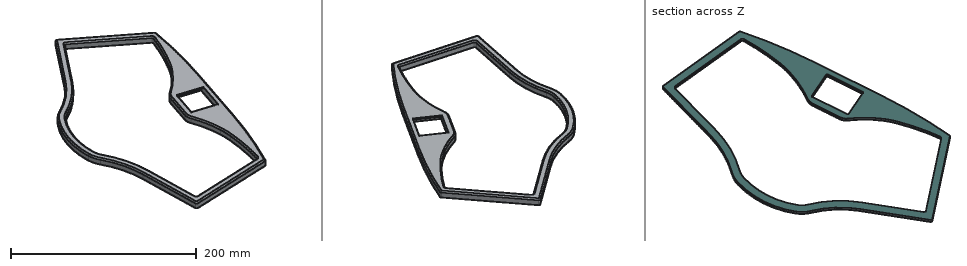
import cadquery as cq
import math


length = 335.0
depth = 179.5
thickness = 8.0

rail_width = 9.0
side_lean = 19.9
corner_radius = 2.0
edge_chamfer = 1.7

chin_radius = 103.8
chin_end_slope = 20.5
neck_radius = 34.0
neck_end_slope = 46.0
shoulder_radius = 117.2

back_flat_half = 42.0
back_corner_y = 83.0

bridge_y = 43.2
bridge_flat_half = 16.7
bridge_arcs = [(14.0, 38.0), (131.3, 21.4), (107.0, 13.0)]
opening_corner_y = 76.5

window_width = 35.0
window_height = 32.0
window_y = 67.0

window_lip = 2.0
relief_reach = 5.0

front_y = -depth / 2
back_y = depth / 2
lean_cos = math.cos(math.radians(side_lean))
lean_sin = math.sin(math.radians(side_lean))
wing_x = length / 2 + corner_radius * (lean_cos + lean_sin - 1)


def arc_point(start, radius, start_slope, slope):
    """Point where an arc heading outward from start has turned from start_slope to slope."""
    a = math.radians(start_slope)
    b = math.radians(slope)
    signed_radius = math.copysign(radius, slope - start_slope)
    return (
        start[0] + signed_radius * (math.sin(b) - math.sin(a)),
        start[1] + signed_radius * (math.cos(a) - math.cos(b)),
    )


def arc_chain(start, start_slope, arcs):
    """Points of tangent arcs given as (radius, end slope): start, then a middle and an end for each."""
    points = [start]
    slope = start_slope
    for radius, end_slope in arcs:
        base = points[-1]
        points.append(arc_point(base, radius, slope, (slope + end_slope) / 2))
        points.append(arc_point(base, radius, slope, end_slope))
        slope = end_slope
    return points


def draw_arcs(path, points):
    """Draw a chain of arcs from its first point, where the path already stands."""
    for middle, end in zip(points[1::2], points[2::2]):
        path = path.threePointArc(middle, end)
    return path


def front_and_side(inset, side_end_y):
    """Front edge and leaning side, moved inward by inset: open path, wing corner and side end."""
    start = (0, front_y + inset)
    arcs = [
        (chin_radius - inset, chin_end_slope),
        (neck_radius - inset, neck_end_slope),
        (shoulder_radius + inset, side_lean),
    ]
    points = arc_chain(start, 0, arcs)
    rail_start = points[-1]
    wing_corner_x = wing_x - inset * (lean_cos + lean_sin)
    wing_corner_y = rail_start[1] + (wing_corner_x - rail_start[0]) * lean_sin / lean_cos
    side_end_x = wing_corner_x - (side_end_y - wing_corner_y) * lean_sin / lean_cos
    wing = (wing_corner_x, wing_corner_y)
    side_end = (side_end_x, side_end_y)
    path = draw_arcs(cq.Workplane("XY").moveTo(*start), points)
    return path.lineTo(*wing).lineTo(*side_end), wing, side_end


def rounded_and_mirrored(half, corners):
    """Round the upright edges at the given outline corners and add the mirror image."""
    for x, y in corners:
        nearest = cq.selectors.NearestToPointSelector((x, y, thickness / 2))
        half = half.edges("|Z").edges(nearest).fillet(corner_radius)
    return half.union(half.mirror("YZ")).clean()


def outer_plate():
    path, wing, back_corner = front_and_side(0, back_corner_y)
    run = back_corner[0] - back_flat_half
    drop = back_y - back_corner_y
    back_radius = (run**2 + drop**2) / (2 * drop)
    back_slope = -math.degrees(math.asin(run / back_radius))
    back_arc = arc_chain((back_flat_half, back_y), 0, [(back_radius, back_slope)])
    path = draw_arcs(path, back_arc[::-1]).lineTo(0, back_y).close()
    return rounded_and_mirrored(path.extrude(thickness), [wing, back_corner])


def opening():
    path, wing, tip = front_and_side(rail_width, opening_corner_y)
    points = arc_chain((bridge_flat_half, bridge_y), 0, bridge_arcs)
    tip_dx = tip[0] - points[-1][0]
    tip_dy = tip[1] - points[-1][1]
    chord_slope = math.atan2(tip_dy, tip_dx)
    tip_start_slope = bridge_arcs[-1][1]
    half_turn = math.radians(tip_start_slope) - chord_slope
    tip_radius = math.hypot(tip_dx, tip_dy) / (2 * math.sin(half_turn))
    tip_end_slope = tip_start_slope - 2 * math.degrees(half_turn)
    points = points + arc_chain(points[-1], tip_start_slope, [(tip_radius, tip_end_slope)])[1:]
    path = draw_arcs(path, points[::-1]).lineTo(0, bridge_y).close()
    return rounded_and_mirrored(path.extrude(thickness), [wing, tip])


def window_prism(width, height):
    """Rectangular cutter at the window, rising from the underside."""
    return cq.Workplane("XY").center(0, window_y).rect(width, window_height).extrude(height)


frame = outer_plate().cut(opening()).faces(">Z").edges().chamfer(edge_chamfer)
window = window_prism(window_width, thickness)
relief = window_prism(window_width + 2 * relief_reach, thickness - window_lip)
result = frame.cut(window).cut(relief)